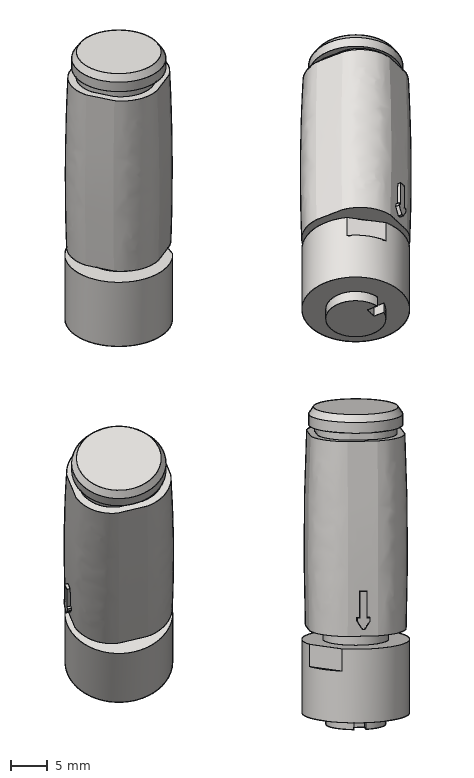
import cadquery as cq
import math

total_height = 44.0
collar_bottom = 1.6
collar_top = 11.8
grip_bottom = 13.5
grip_widest = 26.4
grip_top = 40.5
cap_bottom = 41.55
cap_chamfer_bottom = 43.05

nose_radius = 4.1
neck_radius = 4.5
collar_radius = 7.35
cap_radius = 6.42
cap_top_radius = 5.75

grip_corner_radius = 7.52
grip_top_inset = 0.35
grip_bottom_inset = 0.18
flat_half_width = 2.05
flat_near_distance = 6.8
flat_far_distance = 7.15

groove_inset = 1.35
groove_corner_radius = 6.05
groove_flat_half_width = 1.65

collar_flat_distance = 6.8
collar_flat_bottom = 8.7

marker_angle = 135.0
keyway_width = 1.65
keyway_depth = 1.65
arrow_face_distance = 7.55
arrow_root_distance = 6.15
arrow_top = 19.8
arrow_shoulder = 16.15
arrow_taper_start = 15.7
arrow_tip = 14.55
arrow_shaft_width = 0.95
arrow_head_width = 1.75
arrow_tip_width = 0.35


def cylinder(radius, bottom, top):
    return cq.Workplane("XY").workplane(offset=bottom).circle(radius).extrude(top - bottom)


def polar_point(along, across, angle):
    """Point at a distance along a direction and a distance to the left of it."""
    a = math.radians(angle)
    return (along * math.cos(a) - across * math.sin(a), along * math.sin(a) + across * math.cos(a))


def rounded_square(height, inset, half_width, corner_radius):
    """Outline with four diagonal flats, joined by arcs that cross the X and Y axes."""
    near = flat_near_distance - inset
    far = flat_far_distance - inset
    start = polar_point(near, -half_width, 45)
    outline = cq.Workplane("XY").workplane(offset=height).moveTo(*start)
    flats = [(45, near, far), (135, far, near), (225, near, far), (315, far, near)]
    for angle, distance, next_distance in flats:
        corner = polar_point(corner_radius, 0, angle + 45)
        next_start = polar_point(next_distance, -half_width, angle + 90)
        outline = outline.lineTo(*polar_point(distance, half_width, angle))
        outline = outline.threePointArc(corner, next_start)
    return outline.wire()


def make_grip():
    levels = [(grip_bottom, grip_bottom_inset), (grip_widest, 0), (grip_top, grip_top_inset)]
    sections = [
        rounded_square(height, inset, flat_half_width, grip_corner_radius - inset).val()
        for height, inset in levels
    ]
    return cq.Workplane(obj=cq.Solid.makeLoft(sections))


def make_groove():
    outline = rounded_square(grip_top, groove_inset, groove_flat_half_width, groove_corner_radius)
    return outline.extrude(cap_bottom - grip_top)


def make_cap():
    rim = cylinder(cap_radius, cap_bottom, cap_chamfer_bottom)
    bevel = cq.Workplane(
        obj=cq.Solid.makeCone(
            cap_radius,
            cap_top_radius,
            total_height - cap_chamfer_bottom,
            pnt=cq.Vector(0, 0, cap_chamfer_bottom),
        )
    )
    return rim.union(bevel)


def make_collar():
    collar = cylinder(collar_radius, collar_bottom, collar_top)
    flat_cut = (
        cq.Workplane("XY")
        .workplane(offset=collar_flat_bottom)
        .center(0, collar_flat_distance + collar_radius)
        .rect(2 * collar_radius, 2 * collar_radius)
        .extrude(collar_top - collar_flat_bottom)
    )
    return collar.cut(flat_cut)


def make_nose():
    keyway = (
        cq.Workplane("XY")
        .center(nose_radius, 0)
        .rect(2 * keyway_depth, keyway_width)
        .extrude(collar_bottom)
        .rotate((0, 0, 0), (0, 0, 1), marker_angle)
    )
    return cylinder(nose_radius, 0, collar_bottom).cut(keyway)


def make_arrow():
    half_outline = [
        (arrow_shaft_width / 2, arrow_top),
        (arrow_shaft_width / 2, arrow_shoulder),
        (arrow_head_width / 2, arrow_shoulder),
        (arrow_head_width / 2, arrow_taper_start),
        (arrow_tip_width / 2, arrow_tip),
    ]
    mirrored = [(-across, height) for across, height in reversed(half_outline)]
    return (
        cq.Workplane("YZ")
        .workplane(offset=arrow_root_distance)
        .polyline(half_outline + mirrored)
        .close()
        .extrude(arrow_face_distance - arrow_root_distance)
        .rotate((0, 0, 0), (0, 0, 1), marker_angle)
    )


neck = cylinder(neck_radius, collar_top, grip_bottom)
result = make_nose().union(make_collar()).union(neck).union(make_grip())
result = result.union(make_groove()).union(make_cap()).union(make_arrow())